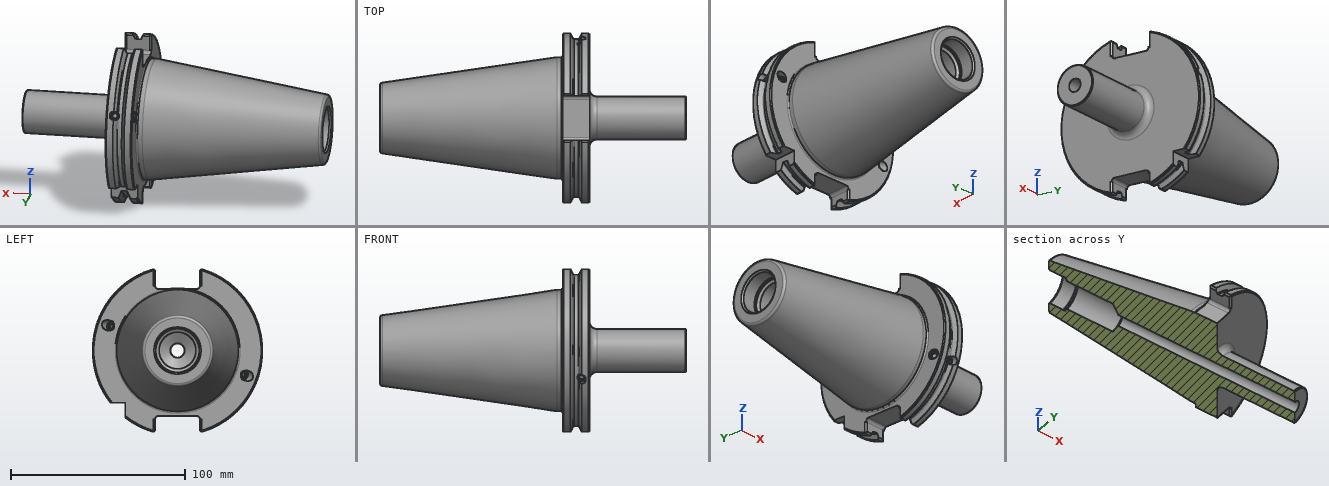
import cadquery as cq
import math

overall_length = 175.7
gauge_x = 101.4
gauge_diameter = 70.0
taper_slope = 7 / 24
nose_fillet = 1.5

flange_start_x = 104.9
flange_end_x = 120.4
flange_diameter = 97.5
flange_chamfer = 0.7
collar_fillet = 0.9

groove_center_x = 112.6
groove_mouth_width = 6.7
groove_floor_width = 3.3
groove_depth = 3.3
groove_floor_fillet = 0.7

shank_diameter = 25.0
shank_fillet = 4.0
shank_chamfer = 0.5

slot_width = 25.7
slot_corner_radius = 2.0
slot_mouth_chamfer = 1.0
upper_slot_floor_z = 35.3
lower_slot_floor_z = -37.6

notch_offset = 30.0

coolant_diameter = 8.0
pilot_diameter = 25.0
pilot_depth = 10.4
pilot_chamfer = 1.0
undercut_width = 1.4
undercut_depth = 0.4
thread_diameter = 21.0
thread_depth = 45.7
drill_half_angle = 59.0

face_screw_diameter = 6.0
rim_screw_diameter = 5.0
screw_length = 4.4
screw_chamfer = 0.5
socket_width = 3.0
socket_depth = 1.8
socket_turn = 30.0
hole_azimuth = 20.0
face_hole_radius = 42.3
face_hole_tilt = 35.0
face_screw_depth = 2.8
rim_hole_x = 115.8
rim_screw_depth = 3.5

flange_radius = flange_diameter / 2
gauge_radius = gauge_diameter / 2
nose_radius = gauge_radius - gauge_x * taper_slope / 2
shank_radius = shank_diameter / 2
flange_length = flange_end_x - flange_start_x


def revolve_about_x(profile):
    """Turn an (x, radius) outline in the XY plane about the X axis."""
    return profile.close().revolve(360, (0, 0, 0), (1, 0, 0))


def turned_blank():
    """Taper, gauge collar, flange and shank as one turned shape."""
    collar_fillet_x = flange_start_x - collar_fillet
    taper = revolve_about_x(
        cq.Workplane("XY")
        .lineTo(0, nose_radius)
        .lineTo(gauge_x, gauge_radius)
        .lineTo(collar_fillet_x, gauge_radius)
        .radiusArc((flange_start_x, gauge_radius + collar_fillet), -collar_fillet)
        .lineTo(flange_start_x, 0)
    ).faces("<X").edges().fillet(nose_fillet)
    flange = (
        cq.Workplane("YZ", origin=(flange_start_x, 0, 0))
        .circle(flange_radius)
        .extrude(flange_length)
        .edges()
        .chamfer(flange_chamfer)
    )
    shank = (
        cq.Workplane("YZ", origin=(flange_end_x, 0, 0))
        .circle(shank_radius)
        .extrude(overall_length - flange_end_x)
        .faces(">X")
        .edges()
        .chamfer(shank_chamfer)
    )
    fillet_ring = revolve_about_x(
        cq.Workplane("XY")
        .moveTo(flange_end_x, 0)
        .lineTo(flange_end_x, shank_radius + shank_fillet)
        .radiusArc((flange_end_x + shank_fillet, shank_radius), -shank_fillet)
        .lineTo(flange_end_x + shank_fillet, 0)
    )
    return taper.union(flange).union(shank).union(fillet_ring)


def gripper_groove():
    """V groove around the flange rim."""
    half_mouth = groove_mouth_width / 2
    half_floor = groove_floor_width / 2
    floor_radius = flange_radius - groove_depth
    clear_radius = flange_radius + 1.8
    return revolve_about_x(
        cq.Workplane("XY")
        .moveTo(groove_center_x - half_mouth, clear_radius)
        .lineTo(groove_center_x - half_mouth, flange_radius)
        .lineTo(groove_center_x - half_floor, floor_radius)
        .lineTo(groove_center_x + half_floor, floor_radius)
        .lineTo(groove_center_x + half_mouth, flange_radius)
        .lineTo(groove_center_x + half_mouth, clear_radius)
    ).edges(cq.selectors.RadiusNthSelector(0)).fillet(groove_floor_fillet)


def central_bore():
    """Pilot bore, thread bore with drill point, and coolant channel."""
    pilot_radius = pilot_diameter / 2
    thread_radius = thread_diameter / 2
    coolant_radius = coolant_diameter / 2
    undercut_radius = pilot_radius + undercut_depth
    undercut_end = pilot_depth + undercut_width
    cone_slope = math.tan(math.radians(drill_half_angle))
    shoulder_end = undercut_end + (pilot_radius - thread_radius) / cone_slope
    drill_tip = thread_depth + (thread_radius - coolant_radius) / cone_slope
    return revolve_about_x(
        cq.Workplane("XY")
        .lineTo(0, pilot_radius + pilot_chamfer)
        .lineTo(pilot_chamfer, pilot_radius)
        .lineTo(pilot_depth, pilot_radius)
        .lineTo(pilot_depth, undercut_radius)
        .lineTo(undercut_end, undercut_radius)
        .lineTo(undercut_end, pilot_radius)
        .lineTo(shoulder_end, thread_radius)
        .lineTo(thread_depth, thread_radius)
        .lineTo(drill_tip, coolant_radius)
        .lineTo(overall_length, coolant_radius)
        .lineTo(overall_length, 0)
    )


def drive_slot(floor_z):
    """Slot along X across the flange, open to +Z or -Z as the sign of its floor height."""
    floor_height = abs(floor_z)
    half_width = slot_width / 2
    chamfered_half_width = half_width + slot_mouth_chamfer
    clear_height = flange_radius + 1.8
    chamfer_top = math.sqrt(flange_radius**2 - chamfered_half_width**2)
    chamfer_bottom = chamfer_top - slot_mouth_chamfer
    middle_x = (flange_start_x + flange_end_x) / 2

    channel = (
        cq.Workplane("XY", origin=(middle_x, 0, floor_height))
        .box(flange_length, slot_width, clear_height - floor_height, centered=(True, True, False))
        .edges("|X and <Z")
        .fillet(slot_corner_radius)
    )
    rim_chamfers = (
        cq.Workplane("YZ", origin=(flange_start_x, 0, 0))
        .moveTo(-half_width, chamfer_bottom)
        .lineTo(half_width, chamfer_bottom)
        .lineTo(chamfered_half_width, chamfer_top)
        .lineTo(chamfered_half_width, clear_height)
        .lineTo(-chamfered_half_width, clear_height)
        .lineTo(-chamfered_half_width, chamfer_top)
        .close()
        .extrude(flange_length)
    )
    slot = channel.union(rim_chamfers)
    for face_x, inner_x in (
        (flange_start_x, flange_start_x + slot_mouth_chamfer),
        (flange_end_x, flange_end_x - slot_mouth_chamfer),
    ):
        face_chamfers = (
            cq.Workplane("XY", origin=(0, 0, floor_height + slot_corner_radius))
            .moveTo(face_x, -chamfered_half_width)
            .lineTo(face_x, chamfered_half_width)
            .lineTo(inner_x, half_width)
            .lineTo(inner_x, -half_width)
            .close()
            .extrude(clear_height - floor_height - slot_corner_radius)
        )
        slot = slot.union(face_chamfers)
    if floor_z < 0:
        slot = slot.mirror("XY")
    return slot


def orientation_notch():
    """Square corner cut out of the flange rim on the +Y, -Z side."""
    return cq.Workplane("XY").box(flange_length, flange_radius, flange_radius, centered=False).translate(
        (flange_start_x, notch_offset, -notch_offset - flange_radius)
    )


def face_hole_plane():
    """Plane at the mouth of a face hole, its normal pointing out of the hole."""
    tilt = math.radians(face_hole_tilt)
    return cq.Plane(
        origin=(flange_start_x, face_hole_radius, 0),
        xDir=(0, 0, 1),
        normal=(-math.cos(tilt), math.sin(tilt), 0),
    )


def rim_hole_plane():
    """Plane at the mouth of a rim hole, its normal pointing out of the hole."""
    return cq.Plane(origin=(rim_hole_x, flange_radius, 0), xDir=(0, 0, 1), normal=(0, 1, 0))


def screw_hole(plane, diameter, screw_depth):
    """Blind hole that ends at the inner end of its screw."""
    clearance = diameter
    return (
        cq.Workplane(plane)
        .workplane(offset=clearance)
        .circle(diameter / 2)
        .extrude(-(clearance + screw_depth + screw_length))
    )


def set_screw(plane, diameter, screw_depth):
    """Headless screw with a chamfered rim and a hexagon socket, sunk in its hole."""
    socket = (
        cq.Workplane(plane)
        .workplane(offset=-screw_depth)
        .transformed(rotate=(0, 0, socket_turn))
        .polygon(6, socket_width, circumscribed=True)
        .extrude(-socket_depth)
    )
    return (
        cq.Workplane(plane)
        .workplane(offset=-screw_depth)
        .circle(diameter / 2)
        .extrude(-screw_length)
        .edges(cq.selectors.DirectionMinMaxSelector(plane.zDir))
        .chamfer(screw_chamfer)
        .cut(socket)
    )


hole_kinds = [
    (face_hole_plane(), face_screw_diameter, face_screw_depth),
    (rim_hole_plane(), rim_screw_diameter, rim_screw_depth),
]
holder = (
    turned_blank()
    .cut(gripper_groove())
    .cut(central_bore())
    .cut(drive_slot(upper_slot_floor_z))
    .cut(drive_slot(lower_slot_floor_z))
    .cut(orientation_notch())
)
screws = []
for side_angle in (hole_azimuth, hole_azimuth + 180):
    for plane, diameter, screw_depth in hole_kinds:
        hole = screw_hole(plane, diameter, screw_depth).rotate((0, 0, 0), (1, 0, 0), side_angle)
        screw = set_screw(plane, diameter, screw_depth).rotate((0, 0, 0), (1, 0, 0), side_angle)
        holder = holder.cut(hole)
        screws.append(screw.val())

result = cq.Compound.makeCompound([holder.val(), *screws])